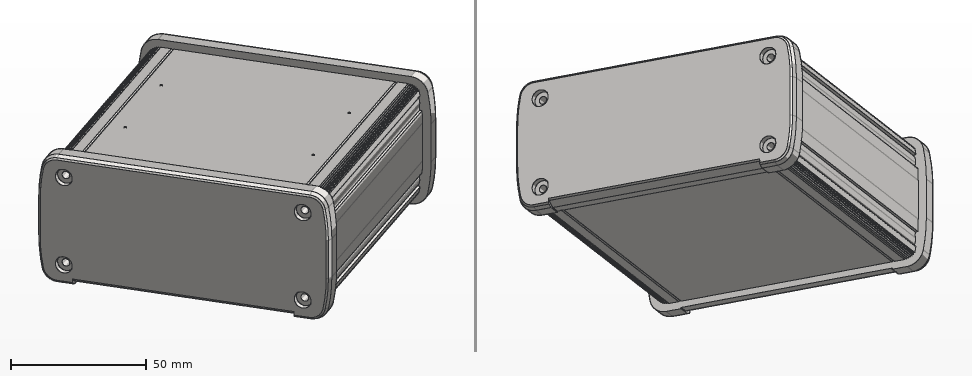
import cadquery as cq
import math

length = 119.0
cap_width = 115.1
cap_height = 51.6
cap_half_width = cap_width / 2
cap_half_height = cap_height / 2
cap_depth = 7.5
profile_half_length = length / 2 - cap_depth

flank_half_height = 7.7
bulge_radius = 63.8
corner_radius = 6.8

main_bevel_depth = 1.8
main_bevel_inset = 0.7
edge_bevel_depth = 0.5
edge_bevel_inset = 0.7

relief_half_width = 43.4
relief_height = 0.5
relief_bevel_depth = 3.1
relief_bevel_rise = 1.7

screw_x = 46.9
screw_z = 17.7
clearance_diameter = 3.0
thread_diameter = 2.7
head_diameter = 6.5
head_depth = 2.4

flank_inset = 3.3
profile_half_width = cap_half_width - flank_inset
profile_half_height = 22.8
profile_bulge_radius = bulge_radius - flank_inset

shoulder_start_x = 48.5
shoulder_end_z = 20.8
rib_count = 6
rib_depth = 0.5

channel_bottom_z = 12.6
channel_top_z = 18.5
channel_ledge_rise = 0.1
channel_step_rise = 0.5
channel_depth = 1.0
floor_turn_z = 15.0
floor_hollow_radius = 6.0
floor_bead_radius = 3.6

groove_x = 43.9
groove_width = 1.0
groove_depth = 0.5

pilot_x = 36.9
pilot_y = 20.0
pilot_diameter = 1.0
pilot_depth = 2.4


def flank_x(z):
    """Half width of the profile at height z on its bulge, above the flat flank."""
    rise = z - flank_half_height
    return profile_half_width - profile_bulge_radius + math.sqrt(profile_bulge_radius**2 - rise**2)


def mirrored_quadrants(quadrant):
    """Joins a quarter section with its reflections across both centre planes."""
    half = quadrant.union(quadrant.mirror("YZ"))
    return half.union(half.mirror("XY")).clean()


def cap_outline(y, inset):
    """Closed cap outline, shrunk evenly by inset, on the plane at the given y."""
    half_width = cap_half_width - inset
    half_height = cap_half_height - inset
    bulge = bulge_radius - inset
    corner = corner_radius - inset

    bulge_x = cap_half_width - bulge_radius
    corner_z = cap_half_height - corner_radius
    tilt = math.asin((corner_z - flank_half_height) / (bulge_radius - corner_radius))
    corner_x = bulge_x + (bulge_radius - corner_radius) * math.cos(tilt)

    def bulge_point(angle):
        return bulge_x + bulge * math.cos(angle), flank_half_height + bulge * math.sin(angle)

    corner_angle = (tilt + math.pi / 2) / 2
    bulge_middle = bulge_point(tilt / 2)
    bulge_end = bulge_point(tilt)
    corner_middle = (corner_x + corner * math.cos(corner_angle), corner_z + corner * math.sin(corner_angle))

    def at(point, x_sign, z_sign):
        return x_sign * point[0], z_sign * point[1]

    flank_end = (half_width, flank_half_height)
    top_end = (corner_x, half_height)
    return (
        cq.Workplane("XZ", origin=(0, y, 0))
        .moveTo(*at(flank_end, 1, -1))
        .lineTo(*at(flank_end, 1, 1))
        .threePointArc(at(bulge_middle, 1, 1), at(bulge_end, 1, 1))
        .threePointArc(at(corner_middle, 1, 1), at(top_end, 1, 1))
        .lineTo(*at(top_end, -1, 1))
        .threePointArc(at(corner_middle, -1, 1), at(bulge_end, -1, 1))
        .threePointArc(at(bulge_middle, -1, 1), at(flank_end, -1, 1))
        .lineTo(*at(flank_end, -1, -1))
        .threePointArc(at(bulge_middle, -1, -1), at(bulge_end, -1, -1))
        .threePointArc(at(corner_middle, -1, -1), at(top_end, -1, -1))
        .lineTo(*at(top_end, 1, -1))
        .threePointArc(at(corner_middle, 1, -1), at(bulge_end, 1, -1))
        .threePointArc(at(bulge_middle, 1, -1), at(flank_end, 1, -1))
        .close()
    )


def screw_bores(diameter, y_start, bore_length):
    """Four cylinders at the screw positions, running from y_start toward -Y."""
    return (
        cq.Workplane("XZ", origin=(0, y_start, 0))
        .rect(2 * screw_x, 2 * screw_z, forConstruction=True)
        .vertices()
        .circle(diameter / 2)
        .extrude(bore_length)
    )


def foot_relief():
    """Cutter that leaves a foot at each bottom corner of the front cap."""
    face_y = -length / 2
    edge_y = face_y + edge_bevel_depth
    bevel_y = edge_y + relief_bevel_depth
    relief_z = -cap_half_height + relief_height
    edge_z = relief_z + relief_bevel_rise
    below_z = -cap_half_height - relief_height
    return (
        cq.Workplane("YZ")
        .moveTo(-profile_half_length, below_z)
        .lineTo(-profile_half_length, relief_z)
        .lineTo(bevel_y, relief_z)
        .lineTo(edge_y, edge_z)
        .lineTo(face_y, edge_z + edge_bevel_inset)
        .lineTo(face_y, below_z)
        .close()
        .extrude(relief_half_width, both=True)
    )


def front_cap():
    """End cap on the -Y end, bevelled around its outer face."""
    straight_depth = cap_depth - main_bevel_depth - edge_bevel_depth
    main_taper = math.degrees(math.atan2(main_bevel_inset, main_bevel_depth))
    edge_taper = math.degrees(math.atan2(edge_bevel_inset, edge_bevel_depth))
    main_bevel_y = -profile_half_length - straight_depth
    edge_bevel_y = main_bevel_y - main_bevel_depth

    body = cap_outline(-profile_half_length, 0).extrude(straight_depth)
    main_bevel = cap_outline(main_bevel_y, 0).extrude(main_bevel_depth, taper=main_taper)
    edge_bevel = cap_outline(edge_bevel_y, main_bevel_inset).extrude(edge_bevel_depth, taper=edge_taper)
    cap = body.union(main_bevel).union(edge_bevel).cut(foot_relief())

    clearance = screw_bores(clearance_diameter, -profile_half_length, cap_depth)
    head_seat = screw_bores(head_diameter, -length / 2 + head_depth, head_depth)
    return cap.cut(clearance).cut(head_seat)


def shoulder_ribs():
    """Zigzag points along the shoulder arc, from the flank up to the panel."""
    end_x = flank_x(shoulder_end_z)
    run = end_x - shoulder_start_x
    drop = profile_half_height - shoulder_end_z
    radius = (run**2 + drop**2) / (2 * drop)
    centre_z = profile_half_height - radius
    sweep = math.asin(run / radius)
    points = []
    for step in range(2 * rib_count + 1):
        angle = sweep * (1 - step / (2 * rib_count))
        reach = radius - rib_depth * (step % 2)
        points.append((shoulder_start_x + reach * math.sin(angle), centre_z + reach * math.cos(angle)))
    return points


def profile_quadrant():
    """Upper +X quarter of the profile, solid, with its side channel and V-groove."""
    bulge_middle_z = (flank_half_height + channel_bottom_z) / 2
    bulge_end = (flank_x(channel_bottom_z), channel_bottom_z)
    ledge_z = channel_bottom_z + channel_ledge_rise
    floor_x = flank_x(channel_bottom_z) - channel_depth

    hollow_z = (ledge_z + floor_turn_z) / 2
    half_chord = floor_turn_z - hollow_z
    hollow_sag = floor_hollow_radius - math.sqrt(floor_hollow_radius**2 - half_chord**2)
    turn_angle = math.asin(half_chord / floor_hollow_radius)
    bead_z = floor_turn_z + floor_bead_radius * math.sin(turn_angle)
    bead_x = floor_x - floor_bead_radius * math.cos(turn_angle)
    bead_end_z = channel_top_z - channel_step_rise
    bead_end_angle = math.asin((bead_end_z - bead_z) / floor_bead_radius)
    bead_end_x = bead_x + floor_bead_radius * math.cos(bead_end_angle)

    strip_middle_z = (channel_top_z + shoulder_end_z) / 2
    section = (
        cq.Workplane("XZ", origin=(0, profile_half_length, 0))
        .lineTo(profile_half_width, 0)
        .lineTo(profile_half_width, flank_half_height)
        .threePointArc((flank_x(bulge_middle_z), bulge_middle_z), bulge_end)
        .lineTo(floor_x, ledge_z)
        .threePointArc((floor_x - hollow_sag, hollow_z), (floor_x, floor_turn_z))
        .threePointArc((bead_x + floor_bead_radius, bead_z), (bead_end_x, bead_end_z))
        .lineTo(flank_x(channel_top_z), channel_top_z)
        .threePointArc((flank_x(strip_middle_z), strip_middle_z), (flank_x(shoulder_end_z), shoulder_end_z))
    )
    for point in shoulder_ribs()[1:]:
        section = section.lineTo(*point)
    return (
        section.lineTo(groove_x + groove_width / 2, profile_half_height)
        .lineTo(groove_x, profile_half_height - groove_depth)
        .lineTo(groove_x - groove_width / 2, profile_half_height)
        .lineTo(0, profile_half_height)
        .close()
        .extrude(2 * profile_half_length)
    )


def extruded_profile():
    """Long housing profile with screw bores and pilot holes in its top panel."""
    pilots = (
        cq.Workplane("XY", origin=(0, 0, profile_half_height))
        .rect(2 * pilot_x, 2 * pilot_y, forConstruction=True)
        .vertices()
        .circle(pilot_diameter / 2)
        .extrude(-pilot_depth)
    )
    bores = screw_bores(thread_diameter, profile_half_length, 2 * profile_half_length)
    return mirrored_quadrants(profile_quadrant()).cut(bores).cut(pilots)


profile = extruded_profile()
near_cap = front_cap()
caps = [near_cap, near_cap.mirror("XZ")]

result = cq.Compound.makeCompound([body.solids().val() for body in [profile, *caps]])